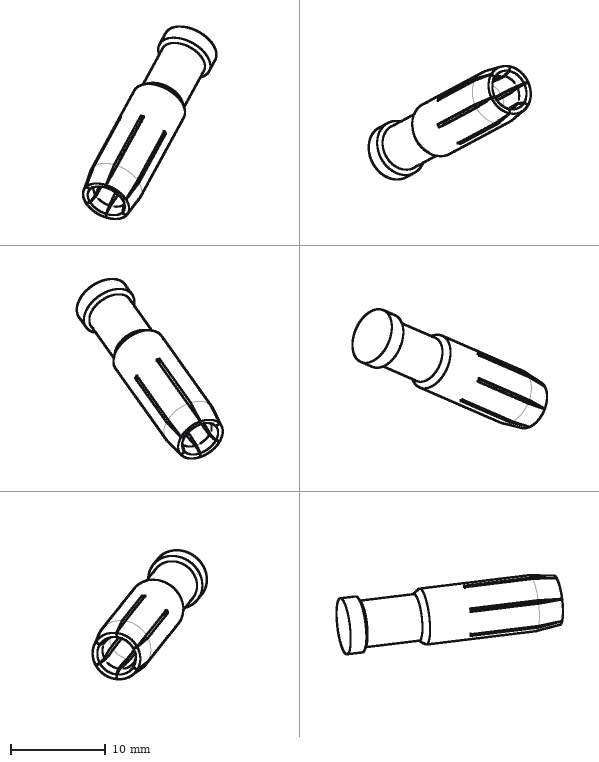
import cadquery as cq

length = 23.4
body_dia = 6.0
neck_dia = 5.0

flange_length = 1.99
flange_chamfer_length = 0.28
flange_start = length - flange_length

body_end = 14.7
neck_start = 15.4

bend_start = 2.7
tip_dia = 5.3
tip_face_setback = 0.07

mouth_dia = 4.28
throat_dia = 3.75
throat_depth = 1.08
straight_bore_start = 4.54
bore_dia = 4.2
bore_depth = 11.0

slot_count = 6
slot_length = 10.13
slot_width = 0.35
slot_tip_width = 0.05


def revolve_about_y(points):
    """Turn a closed (radius, Y) outline about the Y axis."""
    return cq.Workplane("XY").polyline(points).close().revolve(360, (0, 0), (0, 1))


def outer_body():
    """Solid outside shape: fingers, body, neck and flange."""
    body_radius = body_dia / 2
    neck_radius = neck_dia / 2
    return revolve_about_y([
        (0, 0),
        (tip_dia / 2, 0),
        (body_radius, bend_start),
        (body_radius, body_end),
        (neck_radius, neck_start),
        (neck_radius, flange_start),
        (body_radius, flange_start + flange_chamfer_length),
        (body_radius, length),
        (0, length),
    ])


def socket_bore():
    """Blind bore with a slightly dished tip face and a flared mouth down to its throat."""
    return revolve_about_y([
        (0, 0),
        (tip_dia / 2, 0),
        (mouth_dia / 2, tip_face_setback),
        (throat_dia / 2, throat_depth),
        (bore_dia / 2, straight_bore_start),
        (bore_dia / 2, bore_depth),
        (0, bore_depth),
    ])


def finger_slot(angle):
    """Radial cut from the axis outwards, pointing up before it is turned about Y."""
    outline = [
        (-slot_tip_width / 2, 0),
        (slot_tip_width / 2, 0),
        (slot_width / 2, bend_start),
        (slot_width / 2, slot_length),
        (-slot_width / 2, slot_length),
        (-slot_width / 2, bend_start),
    ]
    slot = cq.Workplane("XY").polyline(outline).close().extrude(body_dia)
    return slot.rotate((0, 0, 0), (0, 1, 0), angle)


result = outer_body().cut(socket_bore())
for index in range(slot_count):
    result = result.cut(finger_slot(index * 360 / slot_count))